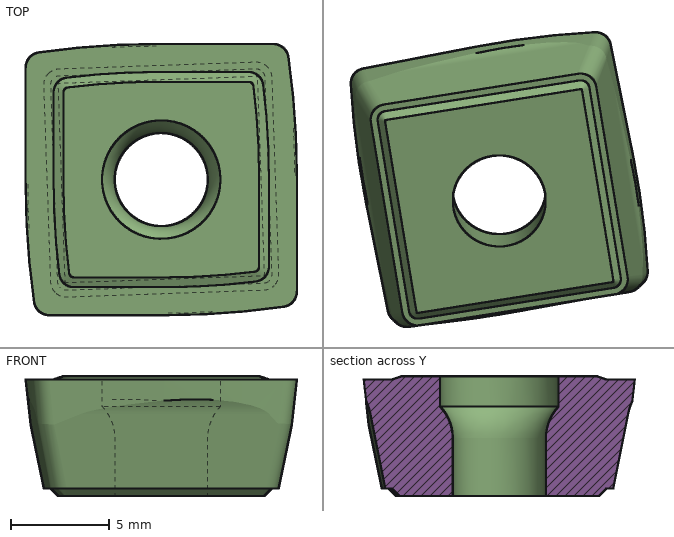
import cadquery as cq
import math

TOTAL_HEIGHT = 6.1
RIM_HEIGHT = 5.93
FLARE_START = 4.17
FOOT_HEIGHT = 0.38

RIM_HALF_WIDTH = 6.9
RIM_ARC_RADIUS = 42.7
BOW_START = 0.17
CORNER_RADIUS = 0.8
UPPER_RELIEF = 6.4

PLATEAU_FOOT_HALF_WIDTH = 5.47
PLATEAU_TOP_HALF_WIDTH = 4.97
PLATEAU_ARC_RADIUS = 37.3
PLATEAU_CORNER_RADIUS = 0.75

LOWER_HALF_WIDTH = 5.8
LOWER_RELIEF = 11.3
LOWER_TURN = 2.0
FLARE_RADIUS = 3.0

FOOT_INSET = 0.35
FOOT_BEVEL = FOOT_HEIGHT

HOLE_RADIUS = 2.36
HEAD_RADIUS = 3.01
HEAD_DEPTH = 1.54
SEAT_DEPTH = 3.15


def turned(point, quarter_turns):
    """Rotate a point about the origin by whole quarter turns."""
    x, y = point
    for _ in range(quarter_turns):
        x, y = -y, x
    return (x, y)


def bowed_square(height, half_width, arc_radius, corner_radius):
    """Square whose sides are straight to just past mid-length and then bow inward."""
    reach = half_width - corner_radius
    arc_reach = reach - BOW_START
    arc_centre_y = arc_radius - half_width
    corner_y = arc_centre_y - math.sqrt((arc_radius - corner_radius) ** 2 - arc_reach ** 2)
    sweep = math.asin(arc_reach / (arc_radius - corner_radius))

    def on_side(angle):
        return (BOW_START + arc_radius * math.sin(angle), arc_centre_y - arc_radius * math.cos(angle))

    corner_mid_angle = (sweep - math.pi / 2) / 2
    corner_mid = (
        reach + corner_radius * math.cos(corner_mid_angle),
        corner_y + corner_radius * math.sin(corner_mid_angle),
    )
    corner_end = (half_width, corner_y)

    outline = cq.Workplane("XY", origin=(0, 0, height)).moveTo(*turned(corner_end, 3))
    for side in range(4):
        outline = outline.lineTo(*turned(on_side(0), side))
        outline = outline.threePointArc(turned(on_side(sweep / 2), side), turned(on_side(sweep), side))
        outline = outline.threePointArc(turned(corner_mid, side), turned(corner_end, side))
    return outline.close().wires().val()


def rounded_square(height, half_width, corner_radius):
    """Plain square outline with rounded corners."""
    sketch = cq.Sketch().rect(2 * half_width, 2 * half_width).vertices().fillet(corner_radius)
    return cq.Workplane("XY", origin=(0, 0, height)).placeSketch(sketch).extrude(1).faces("<Z").wires().val()


def ruled_solid(lower_wire, upper_wire):
    return cq.Workplane(cq.Solid.makeLoft([lower_wire, upper_wire], True))


def upper_body():
    """Relieved block below the cutting rim, carried down to the foot."""
    depth = RIM_HEIGHT - FOOT_HEIGHT
    inset = depth * math.tan(math.radians(UPPER_RELIEF))
    return ruled_solid(
        bowed_square(FOOT_HEIGHT, RIM_HALF_WIDTH - inset, RIM_ARC_RADIUS, CORNER_RADIUS),
        bowed_square(RIM_HEIGHT, RIM_HALF_WIDTH, RIM_ARC_RADIUS, CORNER_RADIUS),
    )


def lower_envelope():
    """Tapered square with rounded corners, flaring outward above FLARE_START."""
    relief = math.radians(LOWER_RELIEF)
    flare_half_width = LOWER_HALF_WIDTH + (FLARE_START - FOOT_HEIGHT) * math.tan(relief)
    tower = ruled_solid(
        rounded_square(FOOT_HEIGHT, LOWER_HALF_WIDTH, CORNER_RADIUS),
        rounded_square(FLARE_START, flare_half_width, CORNER_RADIUS),
    )

    def flare_point(angle):
        x = flare_half_width + FLARE_RADIUS * (math.cos(relief) - math.cos(angle))
        z = FLARE_START + FLARE_RADIUS * (math.sin(angle) - math.sin(relief))
        return (x, z)

    rim_angle = math.asin(math.sin(relief) + (RIM_HEIGHT - FLARE_START) / FLARE_RADIUS)
    middle = flare_point((relief + rim_angle) / 2)
    end = flare_point(rim_angle)
    ridge = (
        cq.Workplane("XZ")
        .moveTo(-flare_half_width, FLARE_START)
        .lineTo(flare_half_width, FLARE_START)
        .threePointArc(middle, end)
        .lineTo(-end[0], end[1])
        .threePointArc((-middle[0], middle[1]), (-flare_half_width, FLARE_START))
        .close()
        .extrude(2 * RIM_HALF_WIDTH, both=True)
    )
    flare = ridge.intersect(ridge.rotate((0, 0, 0), (0, 0, 1), 90))
    return tower.union(flare).rotate((0, 0, 0), (0, 0, 1), LOWER_TURN)


def plateau():
    """Raised top face with sloping edges."""
    slope_run = PLATEAU_FOOT_HALF_WIDTH - PLATEAU_TOP_HALF_WIDTH
    return ruled_solid(
        bowed_square(RIM_HEIGHT, PLATEAU_FOOT_HALF_WIDTH, PLATEAU_ARC_RADIUS, PLATEAU_CORNER_RADIUS),
        bowed_square(
            TOTAL_HEIGHT,
            PLATEAU_TOP_HALF_WIDTH,
            PLATEAU_ARC_RADIUS - slope_run,
            PLATEAU_CORNER_RADIUS - slope_run,
        ),
    )


def foot():
    """Bevelled pad that the insert sits on."""
    top_half_width = LOWER_HALF_WIDTH - FOOT_INSET
    top_corner_radius = CORNER_RADIUS - FOOT_INSET
    pad = ruled_solid(
        rounded_square(0, top_half_width - FOOT_BEVEL, top_corner_radius - FOOT_BEVEL),
        rounded_square(FOOT_HEIGHT, top_half_width, top_corner_radius),
    )
    return pad.rotate((0, 0, 0), (0, 0, 1), LOWER_TURN)


def screw_hole():
    """Through hole with a convex rounded seat below a straight head recess."""
    drop = SEAT_DEPTH - HEAD_DEPTH
    step = HEAD_RADIUS - HOLE_RADIUS
    seat_radius = (drop ** 2 + step ** 2) / (2 * step)
    half_angle = math.asin(drop / seat_radius) / 2
    seat_bottom = TOTAL_HEIGHT - SEAT_DEPTH
    seat_middle = (
        HOLE_RADIUS + seat_radius * (1 - math.cos(half_angle)),
        seat_bottom + seat_radius * math.sin(half_angle),
    )
    return (
        cq.Workplane("XZ")
        .lineTo(HOLE_RADIUS, 0)
        .lineTo(HOLE_RADIUS, seat_bottom)
        .threePointArc(seat_middle, (HEAD_RADIUS, TOTAL_HEIGHT - HEAD_DEPTH))
        .lineTo(HEAD_RADIUS, TOTAL_HEIGHT)
        .lineTo(0, TOTAL_HEIGHT)
        .close()
        .revolve(360, (0, 0, 0), (0, 1, 0))
    )


body = upper_body().intersect(lower_envelope())
result = body.union(plateau()).union(foot()).cut(screw_hole())